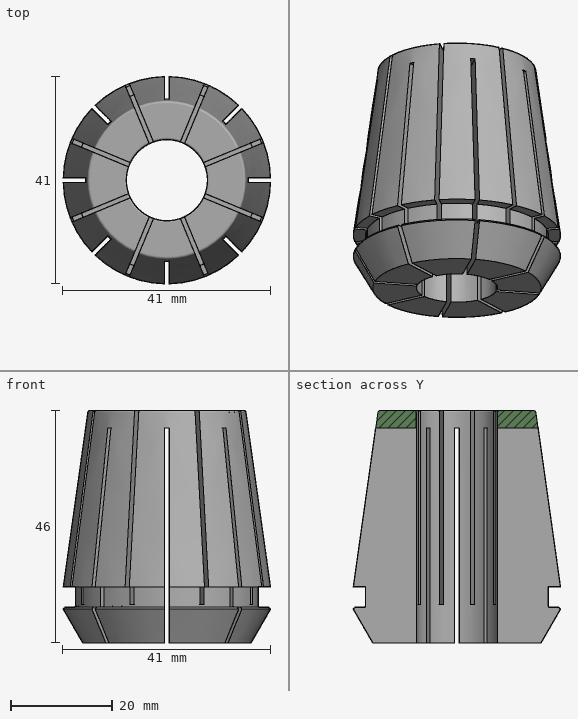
import cadquery as cq
import math

length = 46.0
max_radius = 20.5
bore_radius = 8.0
top_edge_fillet = 0.5
bore_edge_fillet = 0.4

taper_half_angle = 8.0
taper_start_z = 11.1
groove_width = 4.0
groove_radius = 18.1
groove_root_fillet = 0.2
nose_half_angle = 30.0
lip_chamfer = 0.4

slit_width = 0.9
slits_per_end = 8
nose_slit_end_wall = 3.5
top_slit_floor_z = 7.6

edge_tolerance = 0.01

groove_floor_z = taper_start_z - groove_width
lip_edge_z = groove_floor_z - lip_chamfer
nose_radius = max_radius - lip_edge_z * math.tan(math.radians(nose_half_angle))
taper_slope = math.tan(math.radians(taper_half_angle))


def taper_radius(z):
    """Radius of the clamping taper at height z."""
    return max_radius - (z - taper_start_z) * taper_slope


def fillet_circle(body, radius, z, fillet_radius):
    """Fillet the circular edge that has the given radius and height."""
    height_band = cq.selectors.BoxSelector(
        (-max_radius, -max_radius, z - edge_tolerance),
        (max_radius, max_radius, z + edge_tolerance),
    )
    circles = body.edges("%CIRCLE").edges(height_band)
    matching = circles.filter(lambda edge: abs(edge.radius() - radius) < edge_tolerance)
    return matching.fillet(fillet_radius)


def collet_blank():
    """Revolve the half section of the unslit collet about Z and round its edges."""
    section = (
        cq.Workplane("XZ")
        .moveTo(bore_radius, 0)
        .lineTo(nose_radius, 0)
        .lineTo(max_radius, lip_edge_z)
        .lineTo(max_radius - lip_chamfer, groove_floor_z)
        .lineTo(groove_radius, groove_floor_z)
        .lineTo(groove_radius, taper_start_z)
        .lineTo(max_radius, taper_start_z)
        .lineTo(taper_radius(length), length)
        .lineTo(bore_radius, length)
        .close()
    )
    blank = section.revolve(360, (0, 0, 0), (0, 1, 0))
    blank = fillet_circle(blank, taper_radius(length), length, top_edge_fillet)
    blank = fillet_circle(blank, bore_radius, length, bore_edge_fillet)
    return fillet_circle(blank, groove_radius, groove_floor_z, groove_root_fillet)


def radial_slits(bottom_z, top_z, first_angle):
    """Evenly spaced radial slit cutters between two heights."""
    slits = cq.Workplane("XY")
    blade = cq.Workplane("XY", origin=(0, 0, bottom_z)).box(
        2 * max_radius, slit_width, top_z - bottom_z, centered=(False, True, False)
    )
    pitch_angle = 360 / slits_per_end
    for index in range(slits_per_end):
        angle = first_angle + index * pitch_angle
        slits = slits.add(blade.rotate((0, 0, 0), (0, 0, 1), angle))
    return slits.combine()


nose_slits = radial_slits(0, length - nose_slit_end_wall, 0)
top_slits = radial_slits(top_slit_floor_z, length, 180 / slits_per_end)

result = collet_blank().cut(nose_slits).cut(top_slits)